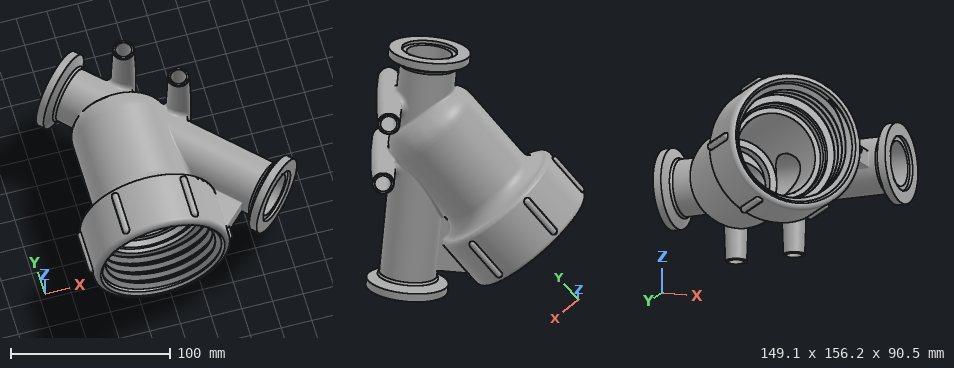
import cadquery as cq
import math

cap_radius = 88.9 / 2
cap_height = 37.2
cap_edge_round = 3.1
body_radius = 31.9
flare_radius = cap_radius - cap_edge_round - body_radius
dome_start = 97.2
dome_round = 15.6
dome_top = dome_start + dome_round

mouth_radius = 40.5
mouth_depth = 1.7
thread_root_radius = 38.7
thread_crest_radius = 35.5
cap_floor = 26.0
seal_radius = 63.0 / 2
seal_cone_start = 29.0
seal_cone_end = 29.5
seat_radius = 60.3 / 2
seat_floor = 34.4
chamber_radius = 53.3 / 2
chamber_end = 100.5
socket_mouth_radius = 22.0
socket_end_radius = 21.1
socket_end = 105.9

thread_pitch = 6.4
thread_start = 4.5
ridge_crest_width = 0.8
ridge_flank_width = 2.3
ridge_embed = 0.5
runout_angle = 45.0
runout_offset = 11.0

rib_count = 6
rib_radius = 2.3
rib_start = 3.6
rib_end = 33.7
rib_axis_radius = 44.5

tube_crossing = 106.8
inlet_reach = 43.9
outlet_reach = 115.1
tube_radius = 36.5 / 2
bore_radius = 28.7 / 2
flange_radius = 51.9 / 2
flange_rim_width = 5.5
flange_cone_width = 3.0
flange_cone_radius = 19.2
flange_neck_width = 1.7
recess_radius = 35.0 / 2
recess_depth = 2.0
tube_joint_round = 1.5

sleeve_height = 90.5
sleeve_end_radius = 6.9
sleeve_middle_radius = 7.8
sleeve_straight_height = 37.5
sleeve_offset = 22.5
sleeve_positions = (-8.0, 31.7)
sleeve_edge_chamfer = 0.5
sleeve_hole_radius = 4.2
sleeve_mouth_radius = 5.2
sleeve_joint_round = 3.1

web_thickness = 11.0
web_end_gap = 15.0
web_start = 31.2
web_depth = 46.9
web_edge_round = 0.8
web_joint_round = 0.8

touch_tolerance = 0.02

tube_plane = cq.Plane(origin=(0, tube_crossing, 0), xDir=(1, -1, 0), normal=(0, 0, 1))


def make_body():
    """Cap, flare, barrel and dome as one turned solid."""
    slant = math.sqrt(0.5)
    cap_corner = cap_radius - cap_edge_round
    flare_center = (body_radius + flare_radius, cap_height + flare_radius)
    dome_center = (body_radius - dome_round, dome_start)
    return (
        cq.Workplane("XY")
        .lineTo(cap_corner, 0)
        .threePointArc(
            (cap_corner + cap_edge_round * slant, cap_edge_round * (1 - slant)),
            (cap_radius, cap_edge_round),
        )
        .lineTo(cap_radius, cap_height - cap_edge_round)
        .threePointArc(
            (cap_corner + cap_edge_round * slant, cap_height - cap_edge_round * (1 - slant)),
            (cap_corner, cap_height),
        )
        .threePointArc(
            (flare_center[0] - flare_radius * slant, flare_center[1] - flare_radius * slant),
            (body_radius, flare_center[1]),
        )
        .lineTo(body_radius, dome_start)
        .threePointArc(
            (dome_center[0] + dome_round * slant, dome_center[1] + dome_round * slant),
            (dome_center[0], dome_top),
        )
        .lineTo(0, dome_top)
        .close()
        .revolve(360, (0, 0, 0), (0, 1, 0))
    )


def make_tube():
    return (
        cq.Workplane(tube_plane)
        .transformed(offset=(-inlet_reach, 0, 0), rotate=(0, 90, 0))
        .circle(tube_radius)
        .extrude(inlet_reach + outlet_reach)
    )


def make_flange(face, inward):
    """Flange with its outer face at a tube position; inward is the sign pointing into the tube."""
    rim_end = face + inward * flange_rim_width
    cone_end = rim_end + inward * flange_cone_width
    neck_end = cone_end + inward * flange_neck_width
    return (
        cq.Workplane(tube_plane)
        .moveTo(face, 0)
        .lineTo(face, flange_radius)
        .lineTo(rim_end, flange_radius)
        .lineTo(cone_end, flange_cone_radius)
        .lineTo(neck_end, tube_radius)
        .lineTo(neck_end, 0)
        .close()
        .revolve(360, (0, 0, 0), (1, 0, 0))
    )


def revolve_beside_tube(outline, position):
    """Revolve a (radius, height) outline about the vertical axis of the sleeve at a tube position."""
    center = tube_plane.toWorldCoords((position, sleeve_offset, 0))
    return cq.Workplane("XZ").polyline(outline).close().revolve(360, (0, 0, 0), (0, 1, 0)).translate(center)


def make_sleeve(position):
    half = sleeve_height / 2
    end_inner = sleeve_end_radius - sleeve_edge_chamfer
    outline = [
        (0, -half),
        (end_inner, -half),
        (sleeve_end_radius, sleeve_edge_chamfer - half),
        (sleeve_middle_radius, -sleeve_straight_height / 2),
        (sleeve_middle_radius, sleeve_straight_height / 2),
        (sleeve_end_radius, half - sleeve_edge_chamfer),
        (end_inner, half),
        (0, half),
    ]
    return revolve_beside_tube(outline, position)


def make_sleeve_hole(position):
    """Through hole that narrows from both mouths to the middle."""
    half = sleeve_height / 2
    outline = [
        (0, -half),
        (sleeve_mouth_radius, -half),
        (sleeve_hole_radius, 0),
        (sleeve_mouth_radius, half),
        (0, half),
    ]
    return revolve_beside_tube(outline, position)


def make_web():
    end = outlet_reach - web_end_gap
    return (
        cq.Workplane(tube_plane)
        .moveTo(end, 0)
        .lineTo(end, -web_depth)
        .lineTo(web_start, -web_depth)
        .lineTo(web_start, 0)
        .close()
        .extrude(web_thickness / 2, both=True)
        .faces(cq.selectors.DirectionMinMaxSelector(tube_plane.xDir, True))
        .edges(cq.selectors.ParallelDirSelector(tube_plane.yDir))
        .fillet(web_edge_round)
    )


def lies_on(edge, solid):
    """True when the middle of the edge touches the solid."""
    return solid.distance(cq.Vertex.makeVertex(*edge.positionAt(0.5).toTuple())) < touch_tolerance


def union_with_fillet(first, second, radius):
    """Join two solids and round the edges where their surfaces meet."""
    joined = first.union(second)
    joint = joined.edges().filter(lambda e: lies_on(e, first.val()) and lies_on(e, second.val()))
    return joint.fillet(radius)


def make_shell():
    """Solid body, tube, sleeves and web with their blended joints."""
    tube = make_tube()
    for position in sleeve_positions:
        tube = tube.union(make_sleeve(position))
    for position in sleeve_positions:
        center = tube_plane.toWorldCoords((position, sleeve_offset, 0))
        reach = cq.Vector(sleeve_middle_radius, sleeve_middle_radius, sleeve_middle_radius)
        joint = cq.selectors.BoxSelector(center - reach, center + reach) - cq.selectors.TypeSelector("LINE")
        tube = tube.edges(joint).fillet(sleeve_joint_round)
    shell = union_with_fillet(make_body(), tube, tube_joint_round)
    return union_with_fillet(shell, make_web(), web_joint_round)


def make_rib(angle):
    """Round-ended bar along Y, half sunk into the cap, at an angle about the Y axis."""
    ball = cq.Workplane("XY").sphere(rib_radius)
    first_ball = rib_start + rib_radius
    last_ball = rib_end - rib_radius
    bar = cq.Workplane("XZ", origin=(0, first_ball, 0)).circle(rib_radius).extrude(first_ball - last_ball)
    rib = bar.union(ball.translate((0, first_ball, 0))).union(ball.translate((0, last_ball, 0)))
    return rib.translate((rib_axis_radius, 0, 0)).rotate((0, 0, 0), (0, 1, 0), angle)


def make_cavity():
    outline = [
        (0, 0),
        (mouth_radius, 0),
        (thread_root_radius, mouth_depth),
        (thread_root_radius, cap_floor),
        (seal_radius, cap_floor),
        (seal_radius, seal_cone_start),
        (seat_radius, seal_cone_end),
        (seat_radius, seat_floor),
        (chamber_radius, seat_floor),
        (chamber_radius, chamber_end),
        (socket_mouth_radius, chamber_end),
        (socket_end_radius, socket_end),
        (0, socket_end),
    ]
    return cq.Workplane("XY").polyline(outline).close().revolve(360, (0, 0, 0), (0, 1, 0))


def make_bore(start, end):
    """Round bore along the tube between two tube positions."""
    return (
        cq.Workplane(tube_plane)
        .transformed(offset=(start, 0, 0), rotate=(0, 90, 0))
        .circle(bore_radius)
        .extrude(end - start)
    )


def make_recess(face, inward):
    return (
        cq.Workplane(tube_plane)
        .transformed(offset=(face, 0, 0), rotate=(0, 90, 0))
        .circle(recess_radius)
        .extrude(inward * recess_depth)
    )


def make_bores():
    """Inlet bore ends at the socket floor; outlet bore starts in the chamber, below its end wall."""
    block = 312.4
    above_floor = cq.Workplane("XY").box(block, block, block).translate((0, socket_end + block / 2, 0))
    below_end_wall = cq.Workplane("XY").box(block, block, block).translate((0, chamber_end - block / 2, 0))
    inlet = make_bore(-inlet_reach, outlet_reach).intersect(above_floor)
    outlet = make_bore(0, outlet_reach).intersect(below_end_wall)
    return inlet.union(outlet)


def ridge_section(start):
    """Ridge section in the XZ plane, rooted in the cap wall and centred at a height along Z."""
    half_crest = ridge_crest_width / 2
    flank_slope = ridge_flank_width / (thread_root_radius - thread_crest_radius)
    half_foot = half_crest + ridge_flank_width + ridge_embed * flank_slope
    foot_radius = thread_root_radius + ridge_embed
    outline = [
        (thread_crest_radius, start - half_crest),
        (thread_crest_radius, start + half_crest),
        (foot_radius, start + half_foot),
        (foot_radius, start - half_foot),
    ]
    return cq.Workplane("XZ").polyline(outline).close()


def make_thread():
    """Right-handed ridge: fades into the cap wall near the mouth and runs into the cap floor."""
    length = cap_floor + ridge_flank_width - thread_start
    path = cq.Wire.makeHelix(thread_pitch, length, thread_crest_radius, cq.Vector(0, 0, thread_start))
    ridge = ridge_section(thread_start).sweep(cq.Workplane(path), isFrenet=True)
    runout = ridge_section(thread_start).revolve(runout_angle, (-runout_offset, 1.5, 0), (-runout_offset, 0, 0))
    return ridge.union(runout).rotate((0, 0, 0), (1, 0, 0), -90)


part = make_shell()
for index in range(rib_count):
    part = part.union(make_rib(index * 360 / rib_count))
flange_ends = ((-inlet_reach, 1), (outlet_reach, -1))
for face, inward in flange_ends:
    part = part.union(make_flange(face, inward))
part = part.cut(make_cavity()).cut(make_bores())
for face, inward in flange_ends:
    part = part.cut(make_recess(face, inward))
for position in sleeve_positions:
    part = part.cut(make_sleeve_hole(position))
result = part.union(make_thread()).solids()